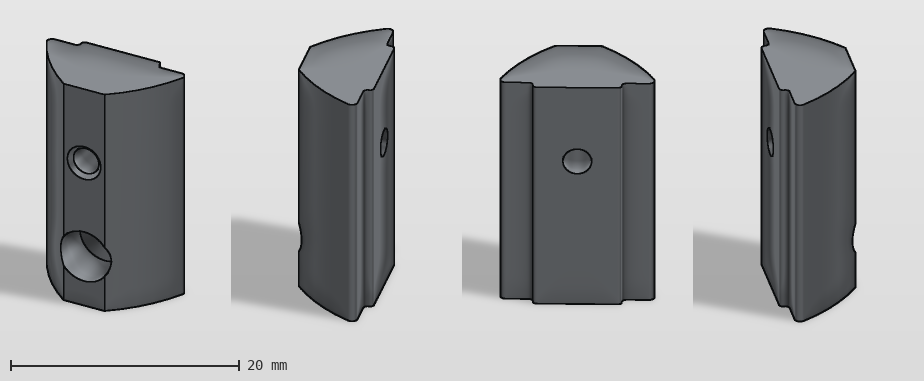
import cadquery as cq
import math

LENGTH = 22.0
WIDTH = 13.5
DEPTH = 7.2
FRONT_FLAT_WIDTH = 4.05

RIB_WIDTH = 7.79
RIB_HEIGHT = 0.8
RIB_EDGE_RADIUS = 0.35
RIB_ROOT_RADIUS = 0.4

CORNER_RADIUS = 0.5
FLANK_START_ANGLE = 64.0

THROUGH_HOLE_Z = 14.5
THROUGH_HOLE_DIAMETER = 2.5
COUNTERSINK_DIAMETER = 3.3

BLIND_HOLE_Z = 5.0
BLIND_HOLE_DIAMETER = 5.0
BLIND_HOLE_STRAIGHT_DEPTH = 3.95
BLIND_HOLE_TIP_DIAMETER = 0.73
BLIND_HOLE_POINT_ANGLE = 118.0

BACK_Y = DEPTH / 2
FRONT_Y = -DEPTH / 2


def make_half_body():
    """Right half of the body, from the X = 0 plane outwards."""
    shoulder_y = BACK_Y - RIB_HEIGHT
    corner_x = WIDTH / 2 - CORNER_RADIUS
    corner_y = shoulder_y - CORNER_RADIUS

    def on_corner(degrees):
        angle = math.radians(degrees)
        return (corner_x + CORNER_RADIUS * math.cos(angle), corner_y + CORNER_RADIUS * math.sin(angle))

    half = (
        cq.Workplane("XY")
        .moveTo(0, BACK_Y)
        .lineTo(RIB_WIDTH / 2, BACK_Y)
        .lineTo(RIB_WIDTH / 2, shoulder_y)
        .lineTo(corner_x, shoulder_y)
        .threePointArc(on_corner(0), on_corner(FLANK_START_ANGLE - 90))
        .tangentArcPoint((FRONT_FLAT_WIDTH / 2, FRONT_Y), relative=False)
        .lineTo(0, FRONT_Y)
        .close()
        .extrude(LENGTH)
    )
    mid_z = LENGTH / 2
    half = half.edges(cq.NearestToPointSelector((RIB_WIDTH / 2, BACK_Y, mid_z))).fillet(RIB_EDGE_RADIUS)
    return half.edges(cq.NearestToPointSelector((RIB_WIDTH / 2, shoulder_y, mid_z))).fillet(RIB_ROOT_RADIUS)


def make_turned_cutter(profile, z):
    """Revolve (radius, distance behind the front face) points about a Y axis at height z."""
    points = [(radius, FRONT_Y + distance) for radius, distance in profile]
    return cq.Workplane("XY").polyline(points).close().revolve(360, (0, 0), (0, 1)).translate((0, 0, z))


def make_through_hole():
    hole_radius = THROUGH_HOLE_DIAMETER / 2
    sink_radius = COUNTERSINK_DIAMETER / 2
    sink_depth = sink_radius - hole_radius
    profile = [(0, 0), (sink_radius, 0), (hole_radius, sink_depth), (hole_radius, DEPTH), (0, DEPTH)]
    return make_turned_cutter(profile, THROUGH_HOLE_Z)


def make_blind_hole():
    radius = BLIND_HOLE_DIAMETER / 2
    tip_radius = BLIND_HOLE_TIP_DIAMETER / 2
    cone_depth = (radius - tip_radius) / math.tan(math.radians(BLIND_HOLE_POINT_ANGLE / 2))
    bottom = BLIND_HOLE_STRAIGHT_DEPTH + cone_depth
    profile = [(0, 0), (radius, 0), (radius, BLIND_HOLE_STRAIGHT_DEPTH), (tip_radius, bottom), (0, bottom)]
    return make_turned_cutter(profile, BLIND_HOLE_Z)


half_body = make_half_body()
body = half_body.union(half_body.mirror("YZ")).clean()
result = body.cut(make_through_hole()).cut(make_blind_hole())